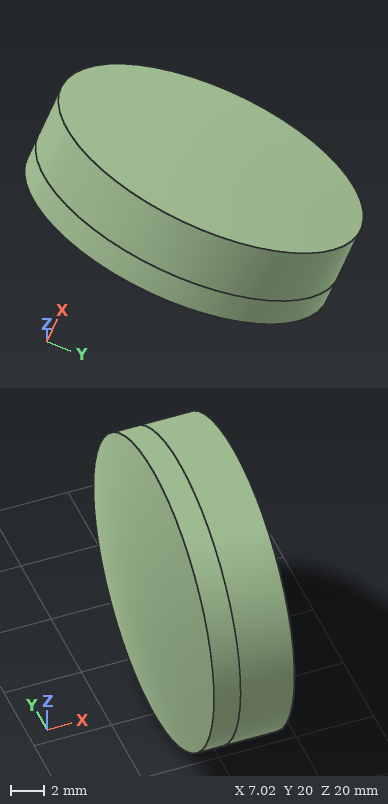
import cadquery as cq

diameter = 20.0
front_edge_thickness = 1.72
back_edge_thickness = 3.5
front_sag = 1.25
back_sag = 0.55

radius = diameter / 2


def dome_height(sag, distance):
    """Height above the rim plane of a spherical dome, at a distance from the axis."""
    sphere_radius = (radius**2 + sag**2) / (2 * sag)
    return (sphere_radius**2 - distance**2) ** 0.5 - (sphere_radius - sag)


def lens_element(edge_thickness, sag, direction):
    """Plano-convex element growing from X = 0 along +X (direction 1) or -X (direction -1)."""
    rim_x = direction * edge_thickness
    apex_x = direction * (edge_thickness + sag)
    middle_distance = radius / 2
    middle_x = direction * (edge_thickness + dome_height(sag, middle_distance))
    return (
        cq.Workplane("XZ")
        .moveTo(0, 0)
        .lineTo(0, radius)
        .lineTo(rim_x, radius)
        .threePointArc((middle_x, middle_distance), (apex_x, 0))
        .close()
        .revolve(360, (0, 0), (1, 0))
    )


front_element = lens_element(front_edge_thickness, front_sag, -1)
back_element = lens_element(back_edge_thickness, back_sag, 1)

result = cq.Compound.makeCompound([front_element.val(), back_element.val()])